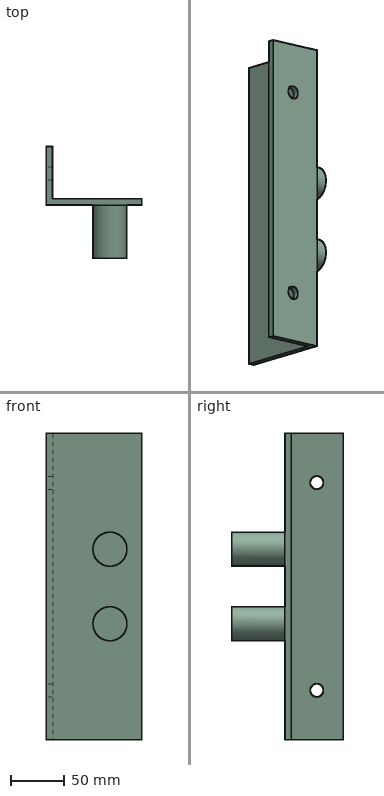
import cadquery as cq

length = 288.0
plate_width = 90.0
flange_depth = 55.0
thickness = 6.0

hole_diameter = 12.0
hole_spacing = 195.0
hole_from_back = 25.0

pin_diameter = 32.0
pin_length = 50.0
pin_spacing = 70.0
pin_x = 60.0

mid_height = length / 2


def symmetric_heights(spacing):
    """Z positions of a pair placed evenly about the middle of the bracket."""
    return [mid_height - spacing / 2, mid_height + spacing / 2]


def make_bracket():
    """L-section bracket with its outer corner on the Z axis."""
    bracket = (
        cq.Workplane("XY")
        .polyline([
            (0, 0),
            (plate_width, 0),
            (plate_width, thickness),
            (thickness, thickness),
            (thickness, flange_depth),
            (0, flange_depth),
        ])
        .close()
        .extrude(length)
    )
    hole_y = flange_depth - hole_from_back
    hole_points = [(hole_y, z) for z in symmetric_heights(hole_spacing)]
    holes = (
        cq.Workplane("YZ")
        .pushPoints(hole_points)
        .circle(hole_diameter / 2)
        .extrude(thickness)
    )
    return bracket.cut(holes)


def make_pin(z):
    """Pin that touches the plate's front face and points along -Y."""
    return (
        cq.Workplane("XZ")
        .center(pin_x, z)
        .circle(pin_diameter / 2)
        .extrude(pin_length)
    )


bracket = make_bracket()
pins = [make_pin(z) for z in symmetric_heights(pin_spacing)]

result = cq.Compound.makeCompound([bracket.val(), *[pin.val() for pin in pins]])